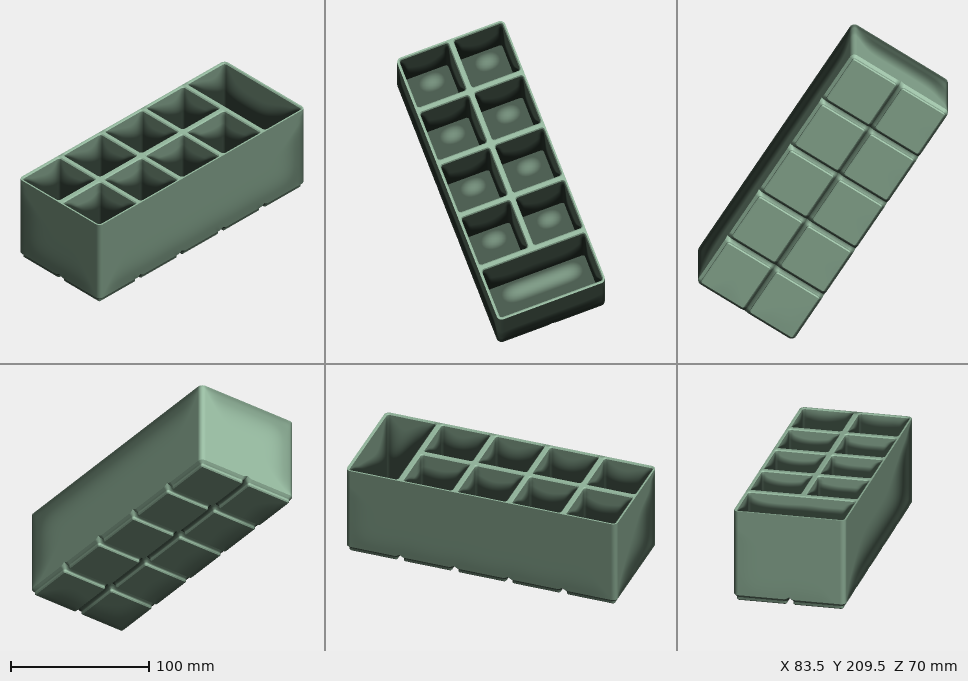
import cadquery as cq

COLUMNS = 2
ROWS = 5
LENGTH = 209.5
CELL_CLEARANCE = 0.5
PITCH = (LENGTH + CELL_CLEARANCE) / ROWS
WIDTH = COLUMNS * PITCH - CELL_CLEARANCE
HEIGHT = 70.0
CORNER_RADIUS = 3.8

FOOT_CHAMFER = 0.8
FOOT_NECK_HEIGHT = 1.8
FOOT_FLARE = 2.0
NECK_SIZE = PITCH - CELL_CLEARANCE - 2 * FOOT_FLARE
NECK_RADIUS = CORNER_RADIUS - FOOT_FLARE
FLARE_START = FOOT_CHAMFER + FOOT_NECK_HEIGHT
FLARE_ANGLE = 45

FLOOR_HEIGHT = 7.0
POCKET_DEPTH = HEIGHT - FLOOR_HEIGHT
RIM_WIDTH = 1.2
DIVIDER_RIM_WIDTH = 2 * RIM_WIDTH + CELL_CLEARANCE
RIM_CHAMFER = 0.8
POCKET_INSET = DIVIDER_RIM_WIDTH + 2 * RIM_CHAMFER
POCKET_RADIUS = CORNER_RADIUS - RIM_WIDTH - RIM_CHAMFER


def cell_center(index, count):
    """Centre of a cell along one axis, with the grid centred on the origin."""
    return (index - (count - 1) / 2) * PITCH


def at_cell(solid, column, row):
    """Copy of a solid moved from the origin to one cell of the grid."""
    return solid.translate((cell_center(column, COLUMNS), cell_center(row, ROWS), 0))


def rounded_block(size_x, size_y, bottom, height, radius):
    """Upright block with rounded vertical edges, centred on the Z axis."""
    block = cq.Workplane("XY", origin=(0, 0, bottom)).rect(size_x, size_y).extrude(height)
    return block.edges("|Z").fillet(radius)


def flare_top(block, height):
    """Extend a block upward from its top face, widening it at the flare angle."""
    top = block.faces(">Z").wires().toPending().workplane()
    return top.extrude(height, taper=-FLARE_ANGLE)


def make_foot():
    """Foot whose flare keeps widening until neighbouring feet merge below the floor."""
    neck = rounded_block(NECK_SIZE, NECK_SIZE, 0, FLARE_START, NECK_RADIUS)
    neck = neck.faces("<Z").chamfer(FOOT_CHAMFER)
    return flare_top(neck, FLOOR_HEIGHT - FLARE_START)


def make_base():
    """All feet joined and trimmed to the outline of the body."""
    foot = make_foot()
    feet = cq.Workplane("XY")
    for column in range(COLUMNS):
        for row in range(ROWS):
            feet = feet.union(at_cell(foot, column, row))
    return feet.intersect(rounded_block(WIDTH, LENGTH, 0, FLOOR_HEIGHT, CORNER_RADIUS))


def make_pocket(columns_spanned):
    """Cutter for a pocket one row deep, with its rim widened by a chamfer."""
    size_x = columns_spanned * PITCH - POCKET_INSET
    size_y = PITCH - POCKET_INSET
    shaft = rounded_block(size_x, size_y, FLOOR_HEIGHT, POCKET_DEPTH - RIM_CHAMFER, POCKET_RADIUS)
    return flare_top(shaft, RIM_CHAMFER)


def make_walls():
    """Body above the floor level, with every pocket cut from the rim down to the floor."""
    walls = rounded_block(WIDTH, LENGTH, FLOOR_HEIGHT, POCKET_DEPTH, CORNER_RADIUS)
    last_row = ROWS - 1
    cell_pocket = make_pocket(1)
    for column in range(COLUMNS):
        for row in range(last_row):
            walls = walls.cut(at_cell(cell_pocket, column, row))
    wide_pocket = make_pocket(COLUMNS).translate((0, cell_center(last_row, ROWS), 0))
    return walls.cut(wide_pocket)


result = make_base().union(make_walls())